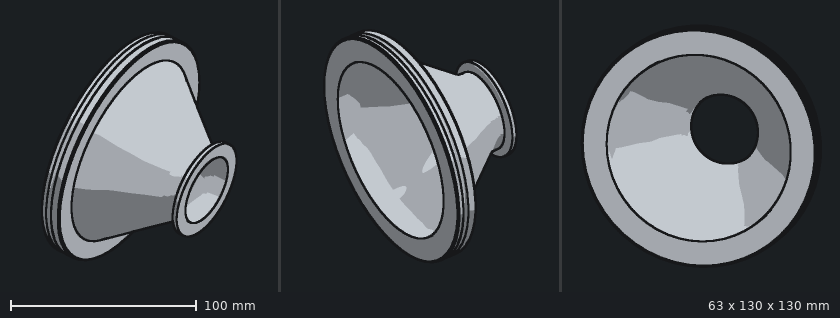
import cadquery as cq
import math

total_length = 63.0

wide_flange_radius = 65.0
wide_flange_width = 12.0
wide_flange_chamfer = 0.8
groove_center_x = 5.1
groove_half_width = 1.5
groove_depth = 1.3

narrow_flange_radius = 27.5
rim_width = 2.7
taper_base_x = 58.6
taper_top_radius = 26.4
taper_angle = math.radians(15)

cone_angle = math.radians(37)
bend_radius = 9.9
wide_bore_radius = 51.0
wide_bore_depth = 6.9
narrow_bore_radius = 19.5
neck_wall = 3.0
neck_start_x = 56.3

neck_radius = narrow_bore_radius + neck_wall
cone_slope = math.tan(cone_angle)
bend_length = bend_radius * math.sin(cone_angle)
bend_rise = bend_radius * (1 - math.cos(cone_angle))
half_bend_length = bend_radius * math.sin(cone_angle / 2)
half_bend_rise = bend_radius * (1 - math.cos(cone_angle / 2))

outer_bend_x = neck_start_x - bend_length
outer_bend_radius = neck_radius + bend_rise
cone_base_radius = outer_bend_radius + (outer_bend_x - wide_flange_width) * cone_slope

inner_cone_start_x = wide_bore_depth + bend_length
inner_cone_start_radius = wide_bore_radius - bend_rise
inner_cone_end_radius = narrow_bore_radius + bend_rise
inner_cone_length = (inner_cone_start_radius - inner_cone_end_radius) / cone_slope
inner_cone_end_x = inner_cone_start_x + inner_cone_length
narrow_bore_start_x = inner_cone_end_x + bend_length

taper_top_x = taper_base_x + (taper_top_radius - neck_radius) * math.tan(taper_angle)

outer_profile = (
    cq.Workplane("XY")
    .moveTo(0, wide_bore_radius)
    .lineTo(0, wide_flange_radius - wide_flange_chamfer)
    .lineTo(wide_flange_chamfer, wide_flange_radius)
    .lineTo(groove_center_x - groove_half_width, wide_flange_radius)
    .threePointArc(
        (groove_center_x, wide_flange_radius - groove_depth),
        (groove_center_x + groove_half_width, wide_flange_radius),
    )
    .lineTo(wide_flange_width - wide_flange_chamfer, wide_flange_radius)
    .lineTo(wide_flange_width, wide_flange_radius - wide_flange_chamfer)
    .lineTo(wide_flange_width, cone_base_radius)
    .lineTo(outer_bend_x, outer_bend_radius)
    .threePointArc(
        (neck_start_x - half_bend_length, neck_radius + half_bend_rise),
        (neck_start_x, neck_radius),
    )
    .lineTo(taper_base_x, neck_radius)
    .lineTo(taper_top_x, taper_top_radius)
    .lineTo(total_length - rim_width, narrow_flange_radius)
    .lineTo(total_length, narrow_flange_radius)
    .lineTo(total_length, narrow_bore_radius)
)

section = (
    outer_profile
    .lineTo(narrow_bore_start_x, narrow_bore_radius)
    .threePointArc(
        (narrow_bore_start_x - half_bend_length, narrow_bore_radius + half_bend_rise),
        (inner_cone_end_x, inner_cone_end_radius),
    )
    .lineTo(inner_cone_start_x, inner_cone_start_radius)
    .threePointArc(
        (wide_bore_depth + half_bend_length, wide_bore_radius - half_bend_rise),
        (wide_bore_depth, wide_bore_radius),
    )
    .close()
)

result = section.revolve(360, (0, 0, 0), (1, 0, 0))